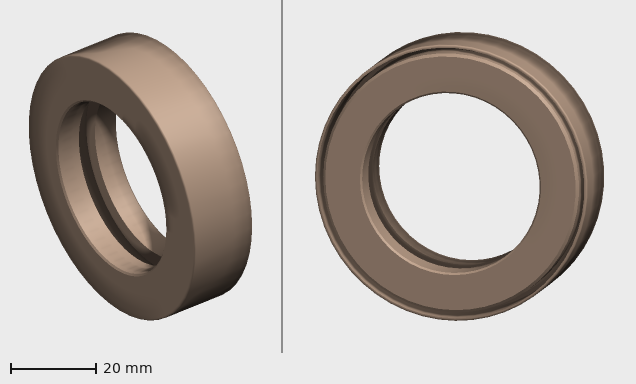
import cadquery as cq

OVERALL_LENGTH = 17.45
SHELL_DIAMETER = 65.9
SHELL_LENGTH = 17.05
SHELL_BORE = 64.5
REAR_WASHER_DIAMETER = 61.8
SHELL_FILLET = 0.495
WASHER_BORE = 42.9
WASHER_THICKNESS = 6.4
BORE_CHAMFER = 0.43
REAR_CHAMFER = 0.65
GROOVE_INNER_DIAMETER = 49.8
RACEWAY_RADIUS = 3.95

SHELL_RADIUS = SHELL_DIAMETER / 2
SHELL_BORE_RADIUS = SHELL_BORE / 2
REAR_WASHER_RADIUS = REAR_WASHER_DIAMETER / 2
BORE_RADIUS = WASHER_BORE / 2
MID_PLANE = OVERALL_LENGTH / 2
RACE_GAP = OVERALL_LENGTH - 2 * WASHER_THICKNESS
GROOVE_HALF_WIDTH = (RACEWAY_RADIUS**2 - (RACE_GAP / 2) ** 2) ** 0.5
PITCH_RADIUS = GROOVE_INNER_DIAMETER / 2 + GROOVE_HALF_WIDTH


def revolve_section(points):
    """Revolve a closed outline of (radius, y) points about the Y axis."""
    return cq.Workplane("XY").polyline(points).close().revolve(360, (0, 0), (0, 1))


def make_raceway():
    """Ring of round section that cuts the groove of each washer."""
    return (
        cq.Workplane("XY")
        .center(PITCH_RADIUS, MID_PLANE)
        .circle(RACEWAY_RADIUS)
        .revolve(360, (-PITCH_RADIUS, 0), (-PITCH_RADIUS, 1))
    )


def make_shell():
    """Outer sleeve with rounded outer edges."""
    tube = cq.Workplane("XZ").circle(SHELL_RADIUS).circle(SHELL_BORE_RADIUS).extrude(-SHELL_LENGTH)
    outer_edges = cq.selectors.RadiusNthSelector(1)
    return tube.edges(outer_edges).fillet(SHELL_FILLET)


def make_front_washer():
    """Washer that fills the front of the sleeve, grooved on its rear face."""
    blank = revolve_section([
        (BORE_RADIUS + BORE_CHAMFER, 0),
        (SHELL_BORE_RADIUS, 0),
        (SHELL_BORE_RADIUS, WASHER_THICKNESS),
        (BORE_RADIUS, WASHER_THICKNESS),
        (BORE_RADIUS, BORE_CHAMFER),
    ])
    return blank.cut(make_raceway())


def make_rear_washer():
    """Washer that stands out of the sleeve with clearance all round, grooved on its front face."""
    blank = revolve_section([
        (BORE_RADIUS, OVERALL_LENGTH - WASHER_THICKNESS),
        (REAR_WASHER_RADIUS, OVERALL_LENGTH - WASHER_THICKNESS),
        (REAR_WASHER_RADIUS, OVERALL_LENGTH - REAR_CHAMFER),
        (REAR_WASHER_RADIUS - REAR_CHAMFER, OVERALL_LENGTH),
        (BORE_RADIUS + BORE_CHAMFER, OVERALL_LENGTH),
        (BORE_RADIUS, OVERALL_LENGTH - BORE_CHAMFER),
    ])
    return blank.cut(make_raceway())


shell = make_shell()
front_washer = make_front_washer()
rear_washer = make_rear_washer()

result = cq.Compound.makeCompound([shell.val(), front_washer.val(), rear_washer.val()])